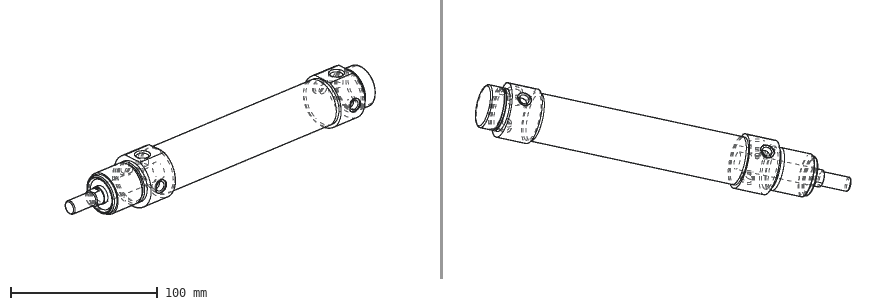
import cadquery as cq
import math


rear_end_y = 134.0
rear_groove_end_y = 124.0
rear_groove_start_y = 122.5
rear_flange_end_y = 120.0
rear_flange_start_y = 98.0
front_flange_end_y = -54.0
front_flange_start_y = -76.0
front_groove_end_y = -78.5
front_groove_start_y = -81.0
nose_step_y = -103.0
nose_y = -106.0
lip_end_y = -107.7
wrench_flat_end_y = -109.0
tip_start_y = -114.2
tip_end_y = -134.0
rear_collar_length = 2.5
front_collar_length = 1.5
rear_collar_y = rear_flange_start_y - rear_collar_length
front_collar_y = front_flange_end_y + front_collar_length

flange_diameter = 38.0
flat_width = 15.0
flat_height = math.sqrt(flange_diameter**2 - flat_width**2) / 2
neck_diameter = 30.0
rear_groove_diameter = 28.0
front_groove_diameter = 26.8
tube_diameter = 33.5
rear_edge_chamfer = 1.0
nose_diameter = 28.0
nose_chamfer = 0.8

recess_mouth_diameter = 24.7
recess_floor_diameter = 22.0
recess_depth = 1.3
lip_groove_diameter = 15.3
lip_diameter = 12.9
lip_groove_depth = 0.3
lip_chamfer_length = 0.3

port_offset_from_neck = 9.0
port_mouth_diameter = 11.0
port_diameter = 8.5
port_depth = 9.0
drill_point_angle = 118.0
vent_diameter = 3.0
mount_mouth_diameter = 10.0
mount_diameter = 7.0
mount_depth = 5.4
counterbore_depth = 1.0

rod_diameter = 12.0
tip_diameter = 10.0
tip_end_diameter = 8.5
wrench_flat_width = 10.7
tip_chamfer_length = 0.8
shoulder_chamfer_length = 0.5

rear_port_y = rear_flange_end_y - port_offset_from_neck
front_port_y = front_flange_start_y + port_offset_from_neck


def turned(points):
    """Revolve a (diameter, y) outline, closed along the Y axis."""
    outline = [(diameter / 2, y) for diameter, y in points]
    return cq.Workplane("XY").polyline(outline).close().revolve(360, (0, 0, 0), (0, 1, 0))


def port_cutter(point_depth):
    """Port going down from the origin: 45 degree countersink, straight hole and drill point."""
    mouth_radius = port_mouth_diameter / 2
    radius = port_diameter / 2
    outline = [
        (0, 0),
        (mouth_radius, 0),
        (radius, radius - mouth_radius),
        (radius, -port_depth),
        (0, -port_depth - point_depth),
    ]
    return cq.Workplane("XZ").polyline(outline).close().revolve(360, (0, 0, 0), (0, 1, 0))


def mount_cutter():
    """Counterbored blind hole going down from the top of the flange circle."""
    hole = cq.Workplane("XY").circle(mount_diameter / 2).extrude(-mount_depth)
    counterbore = cq.Workplane("XY").circle(mount_mouth_diameter / 2).extrude(-counterbore_depth)
    return hole.union(counterbore).translate((0, 0, flange_diameter / 2))


def with_flat_and_mounts(head, flange_start_y, flange_end_y, hole_y):
    """Cut the flat on top of the flange and the mounting holes in both sides."""
    length = flange_end_y - flange_start_y
    trim = cq.Workplane("XY").box(flange_diameter, length, flange_diameter, (True, False, False))
    head = head.cut(trim.translate((0, flange_start_y, flat_height)))
    for angle in (-90, 90):
        hole = mount_cutter().rotate((0, 0, 0), (0, 1, 0), angle)
        head = head.cut(hole.translate((0, hole_y, 0)))
    return head


def make_rear_head():
    """Rear head with a plain neck, a groove and a supply port with a drill point."""
    head = turned([
        (0, rear_collar_y),
        (tube_diameter, rear_collar_y),
        (tube_diameter, rear_flange_start_y),
        (flange_diameter, rear_flange_start_y),
        (flange_diameter, rear_flange_end_y),
        (neck_diameter, rear_flange_end_y),
        (neck_diameter, rear_groove_start_y),
        (rear_groove_diameter, rear_groove_start_y),
        (rear_groove_diameter, rear_groove_end_y),
        (neck_diameter, rear_groove_end_y),
        (neck_diameter, rear_end_y - rear_edge_chamfer),
        (neck_diameter - 2 * rear_edge_chamfer, rear_end_y),
        (0, rear_end_y),
    ])
    head = with_flat_and_mounts(head, rear_flange_start_y, rear_flange_end_y, rear_port_y)
    port = port_cutter(point_depth=port_diameter / 2 / math.tan(math.radians(drill_point_angle / 2)))
    return head.cut(port.translate((0, rear_port_y, flat_height)))


def make_front_head():
    """Front head with a recessed nose, rod bore and a supply port vented to the bore."""
    recess_floor_y = nose_y + recess_depth
    head = turned([
        (rod_diameter, front_collar_y),
        (tube_diameter, front_collar_y),
        (tube_diameter, front_flange_end_y),
        (flange_diameter, front_flange_end_y),
        (flange_diameter, front_flange_start_y),
        (neck_diameter, front_flange_start_y),
        (neck_diameter, front_groove_end_y),
        (front_groove_diameter, front_groove_end_y),
        (neck_diameter, front_groove_start_y),
        (neck_diameter, nose_step_y),
        (nose_diameter, nose_step_y),
        (nose_diameter, nose_y + nose_chamfer),
        (nose_diameter - 2 * nose_chamfer, nose_y),
        (recess_mouth_diameter, nose_y),
        (recess_floor_diameter, recess_floor_y),
        (lip_groove_diameter, recess_floor_y),
        (lip_diameter, recess_floor_y + lip_groove_depth),
        (lip_diameter, lip_end_y + lip_chamfer_length),
        (rod_diameter, lip_end_y),
    ])
    head = with_flat_and_mounts(head, front_flange_start_y, front_flange_end_y, front_port_y)
    port = port_cutter(point_depth=0)
    vent = cq.Workplane("XY").circle(vent_diameter / 2).extrude(flat_height)
    head = head.cut(port.translate((0, front_port_y, flat_height)))
    return head.cut(vent.translate((0, front_port_y, 0)))


def make_tube():
    """Barrel between the collars of the two heads."""
    return turned([
        (0, front_collar_y),
        (tube_diameter, front_collar_y),
        (tube_diameter, rear_collar_y),
        (0, rear_collar_y),
    ])


def make_rod():
    """Rod seated in the front head, with a reduced tip and two wrench flats."""
    rod = turned([
        (0, front_collar_y),
        (rod_diameter, front_collar_y),
        (rod_diameter, tip_start_y + shoulder_chamfer_length),
        (tip_diameter, tip_start_y),
        (tip_diameter, tip_end_y + tip_chamfer_length),
        (tip_end_diameter, tip_end_y),
        (0, tip_end_y),
    ])
    flat_length = wrench_flat_end_y - tip_start_y
    trim = cq.Workplane("XY").box(rod_diameter, flat_length, rod_diameter, (True, False, False))
    trim = trim.translate((0, tip_start_y, wrench_flat_width / 2))
    return rod.cut(trim).cut(trim.mirror("XY"))


rear_head = make_rear_head()
front_head = make_front_head()
tube = make_tube()
rod = make_rod()
result = cq.Compound.makeCompound([rear_head.val(), tube.val(), front_head.val(), rod.val()])